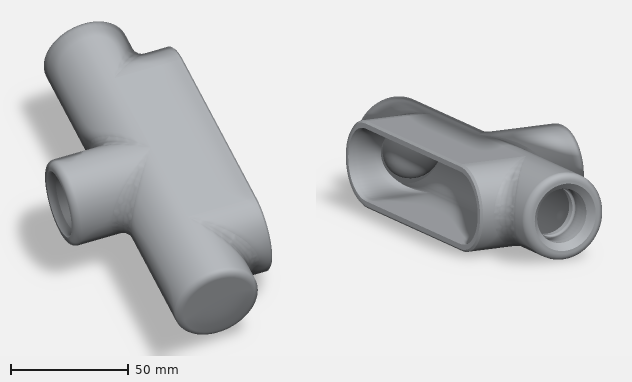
import cadquery as cq

LENGTH = 158.2
TUBE_DIAMETER = 38.1
TOTAL_DEPTH = 73.6
BODY_DEPTH = 31.6
BODY_LENGTH = 124.5
BLEND_RADIUS = 6.3
MOUTH_ROUND = 3.0
RIM_CHAMFER = 1.0

LEAD_IN_DIAMETER = 29.5
LEAD_IN_DEPTH = 3.2
BORE_DIAMETER = 23.7
BORE_DEPTH = 13.1
THROAT_DIAMETER = 21.5
THROAT_BEVEL_LENGTH = 0.6
THROAT_LENGTH = 3.6

WALL = 3.2
DOME_DIAMETER = 26.7

run_end = LENGTH / 2
branch_end = TOTAL_DEPTH - BODY_DEPTH
tube_radius = TUBE_DIAMETER / 2
cavity_radius = tube_radius - WALL
port_depth = BORE_DEPTH + THROAT_LENGTH


def tee(radius, run_half_length, branch_length, body_length):
    """Run, branch and round-ended body, all sharing one radius."""
    run = cq.Workplane("YZ").circle(radius).extrude(run_half_length, both=True)
    branch = cq.Workplane("XZ").circle(radius).extrude(branch_length)
    body = cq.Workplane("XZ").slot2D(body_length, 2 * radius).extrude(-BODY_DEPTH)
    return run.union(branch).union(body)


def make_shell():
    """Outer skin with blended junctions, rounded mouths and a broken body rim."""
    shell = tee(tube_radius, run_end, branch_end, BODY_LENGTH)
    junctions = [edge for edge in shell.edges().vals() if edge.geomType() == "ELLIPSE"]
    shell = shell.newObject(junctions).fillet(BLEND_RADIUS)
    for mouth in ("<X", ">X", "<Y"):
        shell = shell.faces(mouth).edges().fillet(MOUTH_ROUND)
    return shell.faces(">Y").edges().chamfer(RIM_CHAMFER)


def make_port():
    """Cutter for one port, starting at the origin and running along +X."""
    throat_radius = THROAT_DIAMETER / 2
    bore_radius = BORE_DIAMETER / 2
    return (
        cq.Workplane("XY")
        .lineTo(0, LEAD_IN_DIAMETER / 2)
        .lineTo(LEAD_IN_DEPTH, bore_radius)
        .lineTo(BORE_DEPTH, bore_radius)
        .lineTo(BORE_DEPTH + THROAT_BEVEL_LENGTH, throat_radius)
        .lineTo(port_depth, throat_radius)
        .lineTo(port_depth, 0)
        .close()
        .revolve(360, (0, 0, 0), (1, 0, 0))
    )


cavity = tee(
    cavity_radius,
    run_end - port_depth,
    branch_end - port_depth,
    BODY_LENGTH - 2 * WALL,
)
dome = cq.Workplane("XY").sphere(DOME_DIAMETER / 2).translate((run_end - port_depth, 0, 0))
run_port = make_port().translate((-run_end, 0, 0))
branch_port = make_port().rotate((0, 0, 0), (0, 0, 1), 90).translate((0, -branch_end, 0))

result = make_shell().cut(cavity.cut(dome)).cut(run_port).cut(branch_port)